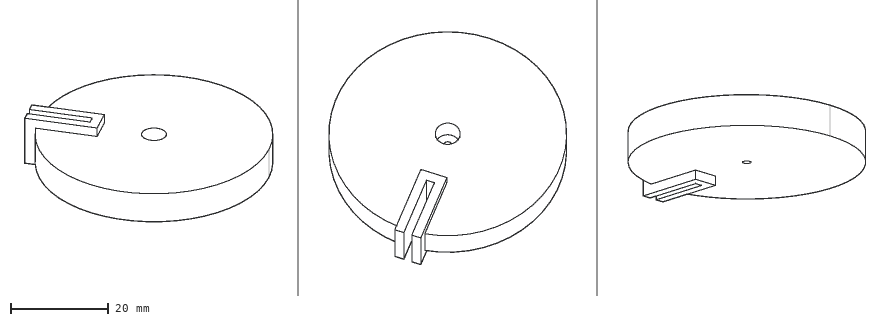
import cadquery as cq

disc_diameter = 48.95
disc_thickness = 6.7

bore_diameter = 5.1
pin_hole_diameter = 1.75
bore_floor = 2.05

overall_length = 51.0
clip_length = 15.45
clip_width = 5.7
clip_height = 10.7
clip_center_y = -1.05
slot_width = 1.75
slot_end_wall = 2.05

disc_radius = disc_diameter / 2
clip_outer_x = disc_radius - overall_length
slot_length = clip_length - slot_end_wall
bore_depth = disc_thickness - bore_floor


def block_from_clip_face(length, width):
    """Full-height block running in +X from the outer face of the clip."""
    return (
        cq.Workplane("XY")
        .box(length, width, clip_height, centered=(False, True, True))
        .translate((clip_outer_x, clip_center_y, 0))
    )


def make_disc():
    """Disc with a blind bore from the top and a through hole in its floor."""
    return (
        cq.Workplane("XY", origin=(0, 0, -disc_thickness / 2))
        .circle(disc_radius)
        .extrude(disc_thickness)
        .faces(">Z")
        .workplane()
        .cboreHole(pin_hole_diameter, bore_diameter, bore_depth)
    )


clip = block_from_clip_face(clip_length, clip_width)
slot = block_from_clip_face(slot_length, slot_width)

result = make_disc().union(clip).cut(slot)